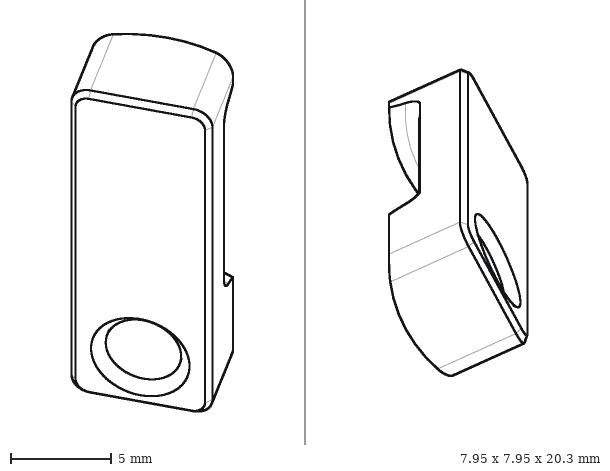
import cadquery as cq
import math

LENGTH = 20.25
WIDTH = 7.3
SIDE_DEPTH = 4.25
CROWN_RADIUS = 8.0
END_RADIUS = 1.0
FACE_CHAMFER = 0.3
TURN_ABOUT_Z = 45.0

GROOVE_RADIUS = 6.5
GROOVE_BOTTOM = 5.79
GROOVE_TOP = 18.76
GROOVE_FILLET = 1.0
FILLET_SWEEP = 72.0
LIP_RISE = 0.38

HOLE_DIAMETER = 3.9
SINK_DIAMETER = 5.1
SINK_ANGLE = 90.0
HOLE_HEIGHT = 3.25

crown_axis_y = SIDE_DEPTH - math.sqrt(CROWN_RADIUS**2 - (WIDTH / 2) ** 2)
crown_peak_y = crown_axis_y + CROWN_RADIUS


def make_body():
    """Rounded, chamfered block trimmed to the cylindrical crown."""
    block = (
        cq.Workplane("XY")
        .box(WIDTH, crown_peak_y, LENGTH, centered=(True, False, False))
        .edges("|Y")
        .fillet(END_RADIUS)
        .faces("<Y")
        .chamfer(FACE_CHAMFER)
    )
    crown = cq.Workplane("XY").center(0, crown_axis_y).circle(CROWN_RADIUS).extrude(LENGTH)
    return block.intersect(crown)


def fillet_point(angle):
    """Radius and height on the lower hollow arc, turned by angle from the groove floor."""
    sweep = math.radians(FILLET_SWEEP)
    turn = math.radians(angle)
    rise = LIP_RISE + GROOVE_FILLET * (math.sin(sweep) - math.sin(turn))
    radius = GROOVE_RADIUS + GROOVE_FILLET * (1 - math.cos(turn))
    return radius, GROOVE_BOTTOM + rise


def make_groove_cutter():
    """Ring whose S-shaped ends join a hollow fillet to a rounded lip."""
    outer_radius = CROWN_RADIUS + GROOVE_FILLET
    middle_height = (GROOVE_BOTTOM + GROOVE_TOP) / 2
    floor_end = fillet_point(0)
    fillet_middle = fillet_point(FILLET_SWEEP / 2)
    fillet_end = fillet_point(FILLET_SWEEP)
    lower_half = (
        cq.Workplane("XZ")
        .moveTo(GROOVE_RADIUS, middle_height)
        .lineTo(*floor_end)
        .threePointArc(fillet_middle, fillet_end)
        .tangentArcPoint((CROWN_RADIUS, GROOVE_BOTTOM), relative=False)
        .lineTo(outer_radius, GROOVE_BOTTOM)
        .lineTo(outer_radius, middle_height)
        .close()
        .revolve(360, (0, 0, 0), (0, 1, 0))
    )
    upper_half = lower_half.mirror("XY", (0, 0, middle_height))
    return lower_half.union(upper_half, clean=True).translate((0, crown_axis_y, 0))


def cut_screw_hole(body):
    """Countersunk through hole entering from the flat face."""
    return (
        body.faces("<Y")
        .workplane(origin=(0, 0, HOLE_HEIGHT))
        .cskHole(HOLE_DIAMETER, SINK_DIAMETER, SINK_ANGLE)
    )


body = cut_screw_hole(make_body())
grooved_body = body.cut(make_groove_cutter())
result = grooved_body.rotate((0, 0, 0), (0, 0, 1), TURN_ABOUT_Z)